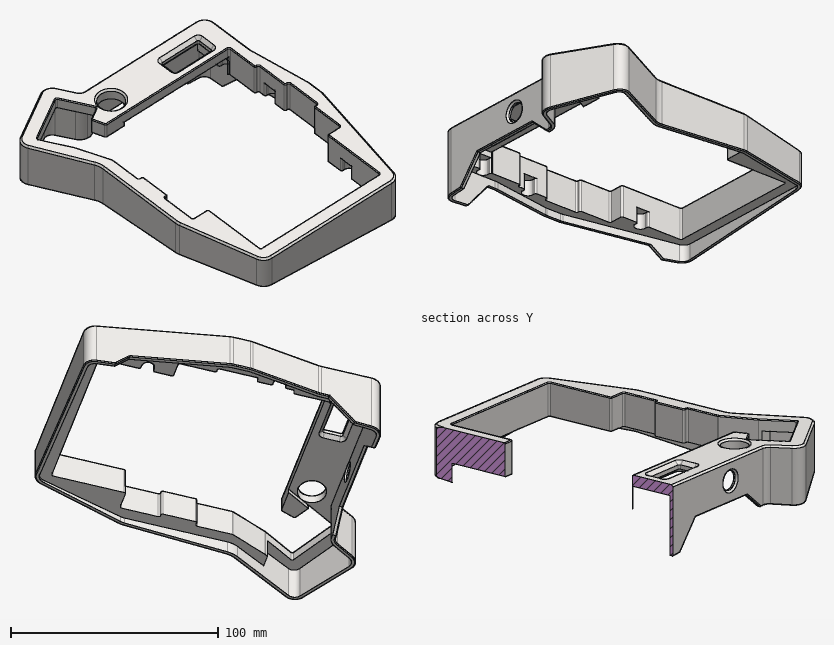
import cadquery as cq
import math

FRAME_RIGHT = 147.59
BACK_LEFT_Y = 109.1
BACK_PEAK_Y = 114.5
FRONT_BEND_LEFT_X = 43.5
FRONT_BEND_RIGHT_X = 99.2
RIGHT_FRONT_Y = 13.0
RIGHT_BACK_Y = 100.95
CREST_LEFT_X = 68.2
CREST_RIGHT_X = 78.3
BACK_BEND_X = 32.2
BLANK_DEPTH = 45.0

REACH = 400.0

PLATE_THICKNESS = 6.0
LEDGE_DEPTH = 17.4
SKIRT_THICKNESS = 2.0

CORNER_RADIUS = 6.0
ELBOW_RADIUS = 4.0
BEND_RADIUS = 10.0
OPENING_RADIUS = 0.9

TOP_CHAMFER = 1.0
OPENING_CHAMFER = 0.5
UNDERSIDE_CHAMFER = 0.5

UNDERSIDE_Z = -27.71
UNDERSIDE_TILT_X = math.radians(4.0)
UNDERSIDE_TILT_Y = math.radians(5.0)
UNDERSIDE_RISE_X = math.tan(UNDERSIDE_TILT_X)
UNDERSIDE_FALL_Y = math.tan(UNDERSIDE_TILT_Y)

ARM_ANGLE = math.radians(30.0)
ELBOW_Y = 28.0
ARM_WIDTH_OFFSET = 18.77
ARM_LENGTH = 44.0

BAR_INNER_X = 24.7
OPENING_RIGHT = 139.6
RIGHT_BAY_X = 102.0
RIGHT_BAY_BACK_Y = 95.6
RIGHT_BAY_FRONT_Y = 17.6
BACK_PAD_Y = 104.2
BACK_RIM_Y = 102.0
BACK_PAD_LEFT_X = 43.4
BACK_RECESS_Y = 106.65
BACK_RECESS_LEFT_X = 62.4
BACK_RECESS_RIGHT_X = 82.9
FRONT_RIGHT_Y = 7.65
FRONT_LEFT_Y = 7.3
FRONT_PAD_Y = 9.9
FRONT_PAD_LEFT_X = 63.6
FRONT_PAD_RIGHT_X = 81.7
FRONT_BEND_INNER = (44.9, FRONT_LEFT_Y)
ARM_BEND_INNER = (26.1, -0.3)
ARM_TIP_INNER = (9.6, -9.8)
ARM_CORNER_INNER = (-5.3, 16.2)

FINGER_ROOT = (12.6, 26.5)
FINGER_TIP = (17.1, 18.7)
FINGER_END = (BAR_INNER_X, 21.4)
FINGER_THICKNESS = 8.5

ARCH_Z = -21.3
ARCH_FLANK_ANGLE = math.radians(45.0)
LEFT_ARCH_FRONT_Y = 42.9
LEFT_ARCH_BACK_Y = 83.5
BACK_ARCH_LEFT_X = 27.4
BACK_ARCH_RIGHT_X = 126.7

FINGER_HOLE_DIAMETER = 14.0
FINGER_HOLE_CENTER = (13.45, 35.2)
SIDE_HOLE_DIAMETER = 10.0
SIDE_HOLE_Y = 56.0
SIDE_HOLE_Z = -10.5
HOLE_CHAMFER = 1.0

SLOT_WIDTH = 10.0
SLOT_LENGTH = 24.4
SLOT_CENTER = (14.3, 83.8)
SLOT_CHAMFER = 1.9

NOTCH_DIAMETER = 6.4
NOTCH_TOP_DEPTH = 9.1
NOTCH_INSET = 1.9
NOTCH_PLACES = ((21.1, BACK_RIM_Y), (51.4, BACK_PAD_Y), (115.4, RIGHT_BAY_BACK_Y))


def arm_point(start, along, across):
    """Point reached from start going outward along the arm's short side, then down its long side."""
    cos_a = math.cos(ARM_ANGLE)
    sin_a = math.sin(ARM_ANGLE)
    return (start[0] - along * cos_a + across * sin_a, start[1] - along * sin_a - across * cos_a)


ELBOW = (0.0, ELBOW_Y)
ARM_CORNER = arm_point(ELBOW, ARM_WIDTH_OFFSET, 0.0)
ARM_TIP = arm_point(ELBOW, ARM_WIDTH_OFFSET, ARM_LENGTH)

OUTER_CORNERS = (
    (ELBOW, ELBOW_RADIUS),
    (ARM_CORNER, CORNER_RADIUS),
    (ARM_TIP, CORNER_RADIUS),
    ((FRONT_BEND_LEFT_X, 0.0), BEND_RADIUS),
    ((FRONT_BEND_RIGHT_X, 0.0), BEND_RADIUS),
    ((FRAME_RIGHT, RIGHT_FRONT_Y), CORNER_RADIUS),
    ((FRAME_RIGHT, RIGHT_BACK_Y), CORNER_RADIUS),
    ((CREST_RIGHT_X, BACK_PEAK_Y), BEND_RADIUS),
    ((CREST_LEFT_X, BACK_PEAK_Y), BEND_RADIUS),
    ((BACK_BEND_X, BACK_LEFT_Y), BEND_RADIUS),
    ((0.0, BACK_LEFT_Y), CORNER_RADIUS),
)

OPENING_CORNERS = (
    (BAR_INNER_X, BACK_RIM_Y),
    (BACK_PAD_LEFT_X, BACK_RIM_Y),
    (BACK_PAD_LEFT_X, BACK_PAD_Y),
    (BACK_RECESS_LEFT_X, BACK_PAD_Y),
    (BACK_RECESS_LEFT_X, BACK_RECESS_Y),
    (BACK_RECESS_RIGHT_X, BACK_RECESS_Y),
    (BACK_RECESS_RIGHT_X, BACK_PAD_Y),
    (RIGHT_BAY_X, BACK_PAD_Y),
    (RIGHT_BAY_X, RIGHT_BAY_BACK_Y),
    (OPENING_RIGHT, RIGHT_BAY_BACK_Y),
    (OPENING_RIGHT, RIGHT_BAY_FRONT_Y),
    (RIGHT_BAY_X, RIGHT_BAY_FRONT_Y),
    (RIGHT_BAY_X, FRONT_RIGHT_Y),
    (FRONT_PAD_RIGHT_X, FRONT_RIGHT_Y),
    (FRONT_PAD_RIGHT_X, FRONT_PAD_Y),
    (FRONT_PAD_LEFT_X, FRONT_PAD_Y),
    (FRONT_PAD_LEFT_X, FRONT_LEFT_Y),
    FRONT_BEND_INNER,
    ARM_BEND_INNER,
    ARM_TIP_INNER,
    ARM_CORNER_INNER,
    FINGER_ROOT,
    FINGER_TIP,
    FINGER_END,
)


def outer_prism():
    """Full-depth block of the outer outline with every upright corner rounded."""
    points = [point for point, _ in OUTER_CORNERS]
    prism = cq.Workplane("XY").polyline(points).close().extrude(-BLANK_DEPTH)
    for (x, y), radius in OUTER_CORNERS:
        corner = cq.selectors.NearestToPointSelector((x, y, -BLANK_DEPTH / 2))
        prism = prism.edges("|Z").edges(corner).fillet(radius)
    return prism


def opening_prism():
    """Full-depth prism of the opening with small rounds on its upright corners."""
    prism = cq.Workplane("XY").polyline(OPENING_CORNERS).close().extrude(-BLANK_DEPTH)
    return prism.edges("|Z").fillet(OPENING_RADIUS)


def inside_of_skirt(block):
    """Full-depth prism bounded by the inner faces of the skirt."""
    outline = block.faces(">Z").wires().toPending().offset2D(-SKIRT_THICKNESS)
    return outline.extrude(-BLANK_DEPTH, combine=False)


def skirt_cavity(block):
    """Hollow inside the skirt: low under the rim, higher under the left bar and the arm."""
    inside = inside_of_skirt(block)
    under_rim = inside.translate((0, 0, -LEDGE_DEPTH))
    bar_zone = cq.Workplane("XY").box(2 * REACH, 2 * REACH, REACH).translate(
        (BAR_INNER_X - REACH, BACK_RIM_Y - REACH, 0))
    under_bar = inside.translate((0, 0, -PLATE_THICKNESS)).intersect(bar_zone)
    finger_root_rise = (BAR_INNER_X - FINGER_ROOT[0]) * math.tan(ARM_ANGLE)
    finger_outline = [
        FINGER_ROOT,
        (BAR_INNER_X, FINGER_ROOT[1] + finger_root_rise),
        FINGER_END,
        FINGER_TIP,
    ]
    finger = cq.Workplane("XY").polyline(finger_outline).close().extrude(-FINGER_THICKNESS)
    return under_rim.union(under_bar).cut(finger)


def below_underside():
    """Everything under the sloping underside."""
    normal = (-UNDERSIDE_RISE_X, UNDERSIDE_FALL_Y, 1.0)
    plane = cq.Plane(origin=(0, 0, UNDERSIDE_Z), xDir=(1, 0, UNDERSIDE_RISE_X), normal=normal)
    return cq.Workplane(plane).rect(2 * REACH, 2 * REACH).extrude(-BLANK_DEPTH)


def arch_profile(plane, start, end, start_angle, end_angle):
    """Flat-topped opening that widens downward by the given flank angles."""
    drop = BLANK_DEPTH + ARCH_Z
    return cq.Workplane(plane).polyline([
        (start, ARCH_Z),
        (end, ARCH_Z),
        (end + drop / math.tan(end_angle), ARCH_Z - drop),
        (start - drop / math.tan(start_angle), ARCH_Z - drop),
    ]).close()


def left_arch():
    """Opening through the skirt of the left bar."""
    profile = arch_profile("YZ", LEFT_ARCH_FRONT_Y, LEFT_ARCH_BACK_Y,
                           ARCH_FLANK_ANGLE - UNDERSIDE_TILT_Y, ARCH_FLANK_ANGLE + UNDERSIDE_TILT_Y)
    return profile.extrude(BAR_INNER_X)


def back_arch():
    """Opening through the skirt of the back wall."""
    profile = arch_profile("XZ", BACK_ARCH_LEFT_X, BACK_ARCH_RIGHT_X,
                           ARCH_FLANK_ANGLE + UNDERSIDE_TILT_X, ARCH_FLANK_ANGLE - UNDERSIDE_TILT_X)
    return profile.extrude(-REACH).translate((0, RIGHT_BAY_BACK_Y, 0))


def round_notch(x, wall_y):
    """Round-backed pocket in a back wall face, open downward, with its upright mouth edges rounded."""
    radius = NOTCH_DIAMETER / 2
    ease = OPENING_RADIUS
    axis_y = wall_y + NOTCH_INSET
    outline = (
        cq.Workplane("XY", origin=(0, 0, -NOTCH_TOP_DEPTH))
        .moveTo(x - radius - ease, wall_y)
        .radiusArc((x - radius, wall_y + ease), -ease)
        .lineTo(x - radius, axis_y)
        .threePointArc((x, axis_y + radius), (x + radius, axis_y))
        .lineTo(x + radius, wall_y + ease)
        .radiusArc((x + radius + ease, wall_y), -ease)
        .close()
    )
    return outline.extrude(NOTCH_TOP_DEPTH - LEDGE_DEPTH)


def finger_hole():
    """Round hole down through the plate of the left bar, chamfered at the top."""
    radius = FINGER_HOLE_DIAMETER / 2
    hole = cq.Workplane("XY").circle(radius).extrude(-LEDGE_DEPTH)
    flare = cq.Workplane("XY").circle(radius + HOLE_CHAMFER).extrude(-HOLE_CHAMFER, taper=45)
    return hole.union(flare).translate(FINGER_HOLE_CENTER)


def side_hole():
    """Countersunk hole through the skirt of the left bar."""
    radius = SIDE_HOLE_DIAMETER / 2
    half_profile = [
        (0, 0),
        (0, radius + HOLE_CHAMFER),
        (HOLE_CHAMFER, radius),
        (SKIRT_THICKNESS, radius),
        (SKIRT_THICKNESS, 0),
    ]
    hole = cq.Workplane("XY").polyline(half_profile).close().revolve(360, (0, 0, 0), (1, 0, 0))
    return hole.translate((0, SIDE_HOLE_Y, SIDE_HOLE_Z))


def slot():
    """Rounded slot through the plate, flared at both its top and its underside."""
    narrow = cq.Sketch().rect(SLOT_WIDTH, SLOT_LENGTH).vertices().fillet(OPENING_RADIUS)
    wide = (
        cq.Sketch()
        .rect(SLOT_WIDTH + 2 * SLOT_CHAMFER, SLOT_LENGTH + 2 * SLOT_CHAMFER)
        .vertices()
        .fillet(OPENING_RADIUS + SLOT_CHAMFER)
    )
    through = cq.Workplane("XY").placeSketch(narrow).extrude(-PLATE_THICKNESS)
    top_flare = cq.Workplane("XY").placeSketch(wide).extrude(-SLOT_CHAMFER, taper=45)
    bottom_flare = top_flare.mirror("XY").translate((0, 0, -PLATE_THICKNESS))
    return through.union(top_flare).union(bottom_flare).translate(SLOT_CENTER)


def outer_rim(part):
    """Top edges of the outer wall."""
    return part.newObject(part.faces(">Z").val().outerWire().Edges())


def opening_rim(part):
    """Top edges of the opening, the only inner boundary of the top face so far."""
    return part.newObject(part.faces(">Z").val().innerWires()[0].Edges())


def lower_rim(part, block):
    """Outer edges along the underside and the arches."""
    inside = inside_of_skirt(block).val()
    edges = part.edges("not(|Z or >Z)").vals()
    return part.newObject([edge for edge in edges if not inside.isInside(edge.Center())])


block = outer_prism()
frame = block.cut(below_underside()).cut(left_arch()).cut(back_arch())
frame = lower_rim(frame, block).chamfer(UNDERSIDE_CHAMFER)
frame = frame.cut(skirt_cavity(block)).cut(opening_prism())
frame = outer_rim(frame).chamfer(TOP_CHAMFER)
frame = opening_rim(frame).chamfer(OPENING_CHAMFER)
frame = frame.cut(slot()).cut(finger_hole()).cut(side_hole())
for place in NOTCH_PLACES:
    frame = frame.cut(round_notch(*place))

result = frame